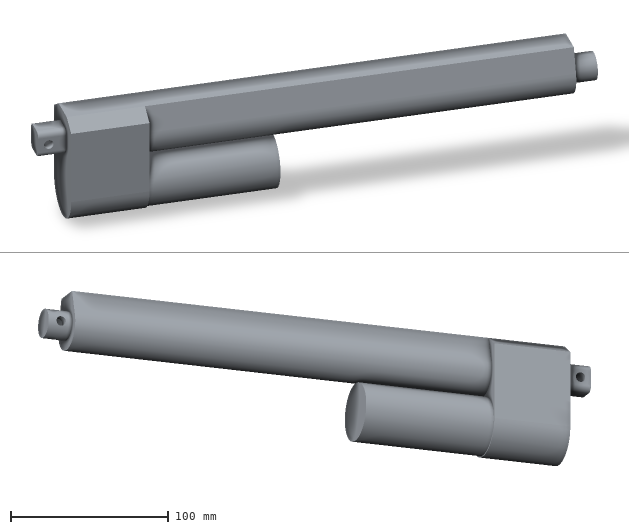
import cadquery as cq
import math


total_length = 370.0
lug_length = 18.5
gearbox_length = 51.8
motor_length = 87.0
rod_stickout = 16.0
gearbox_front = lug_length
gearbox_back = gearbox_front + gearbox_length
tube_end = total_length - rod_stickout

gearbox_width = 40.0
gearbox_height = 76.2
shoulder_drop = 6.5
top_flat_width = 19.0
motor_diameter = 38.0
motor_axis_z = gearbox_width / 2 - gearbox_height

tube_height = 36.5
tube_radius = 15.0
tube_axis_z = tube_radius - tube_height
slope_drop = 16.5

lug_width = 16.5
lug_height = 17.8
lug_axis_z = -19.0
lug_corner_radius = 3.7
lug_hole_diameter = 6.3
lug_hole_from_end = 7.0

rod_diameter = 19.0
rod_axis_z = -20.7
rod_hole_diameter = 6.3
rod_hole_from_end = 8.5
rod_hole_depth = 6.3
drill_point_angle = 118.0


def extrude_along_y(sketch, start, end):
    """Extrude a profile drawn at Y = 0 (X across, Z up) so that it spans start to end."""
    return sketch.extrude(start - end).translate((0, start, 0))


def xz_profile():
    """Start a cross-section in the XZ plane."""
    return cq.Workplane("XZ")


def make_gearbox():
    half = gearbox_width / 2
    flat = top_flat_width / 2
    outline = (
        xz_profile()
        .moveTo(-flat, 0)
        .lineTo(flat, 0)
        .lineTo(half, -shoulder_drop)
        .lineTo(half, motor_axis_z)
        .threePointArc((0, -gearbox_height), (-half, motor_axis_z))
        .lineTo(-half, -shoulder_drop)
        .close()
    )
    return extrude_along_y(outline, gearbox_front, gearbox_back)


def make_motor():
    outline = xz_profile().center(0, motor_axis_z).circle(motor_diameter / 2)
    return extrude_along_y(outline, gearbox_back, gearbox_back + motor_length)


def make_tube():
    flat = top_flat_width / 2
    slope_x = math.sqrt(tube_radius**2 - (slope_drop + tube_axis_z) ** 2)
    outline = (
        xz_profile()
        .moveTo(-flat, 0)
        .lineTo(flat, 0)
        .lineTo(slope_x, -slope_drop)
        .threePointArc((0, -tube_height), (-slope_x, -slope_drop))
        .close()
    )
    return extrude_along_y(outline, gearbox_back, tube_end)


def make_lug():
    """Rounded rectangular lug with a cross hole for a mounting pin."""
    outline = xz_profile().center(0, lug_axis_z).rect(lug_width, lug_height)
    lug = extrude_along_y(outline, 0, lug_length).edges("|Y").fillet(lug_corner_radius)
    pin_hole = (
        cq.Workplane("YZ")
        .center(lug_hole_from_end, lug_axis_z)
        .circle(lug_hole_diameter / 2)
        .extrude(lug_width / 2, both=True)
    )
    return lug.cut(pin_hole)


def make_rod():
    """Plain round rod reaching from the back of the gearbox out of the tube end."""
    outline = xz_profile().center(0, rod_axis_z).circle(rod_diameter / 2)
    return extrude_along_y(outline, gearbox_back, total_length)


def make_rod_hole():
    """Blind drilled hole with a conical bottom, entering the rod from -X."""
    radius = rod_hole_diameter / 2
    entry_x = -rod_diameter / 2
    bottom_x = entry_x + rod_hole_depth
    tip_x = bottom_x + radius / math.tan(math.radians(drill_point_angle / 2))
    return (
        xz_profile()
        .polyline([(entry_x, 0), (entry_x, radius), (bottom_x, radius), (tip_x, 0)])
        .close()
        .revolve(360, (0, 0), (1, 0))
        .translate((0, total_length - rod_hole_from_end, rod_axis_z))
    )


rod_blank = make_rod()
rod = rod_blank.cut(make_rod_hole())
housing = make_gearbox().union(make_tube()).union(make_motor()).union(make_lug()).cut(rod_blank)

result = cq.Compound.makeCompound([housing.val(), rod.val()])